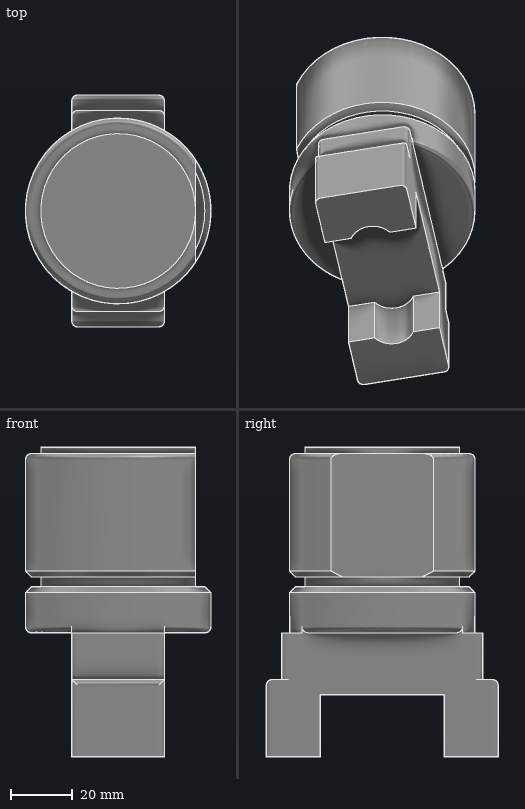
import cadquery as cq

edge_size = 2.0
knob_radius = 30.0
neck_radius = 25.0
base_width = 30.0
foot_length = 75.0
shoulder_length = 65.0
slot_width = 40.0
slot_height = 20.0
recess_radius = 7.5
recess_offset = 16.0

shoulder_z = 25.0
flange_z = 40.0
neck_z = 55.0
knob_z = 58.0
knob_top_z = 98.0
total_height = 100.0


def cylinder(radius, bottom, top):
    """Vertical cylinder on the Z axis."""
    return cq.Workplane("XY").workplane(offset=bottom).circle(radius).extrude(top - bottom)


def block(x_size, y_size, bottom, top):
    """Rectangular block centred on the Z axis."""
    return cq.Workplane("XY").workplane(offset=bottom).rect(x_size, y_size).extrude(top - bottom)


def make_base():
    """Two-legged foot with a narrower shoulder above it."""
    foot = block(base_width, foot_length, 0, shoulder_z)
    foot = foot.edges("|Z or (>Z and |X)").fillet(edge_size)
    shoulder = block(base_width, shoulder_length, 0, flange_z).edges("|Z").fillet(edge_size)
    slot = block(base_width, slot_width, 0, slot_height)
    base = foot.union(shoulder).cut(slot)
    for side in (-1, 1):
        recess = cylinder(recess_radius, 0, slot_height)
        base = base.cut(recess.translate((0, side * recess_offset, 0)))
    return base


def make_flange():
    """Flange whose lower edge is rounded only where it overhangs the base."""
    flange = cylinder(knob_radius, flange_z, neck_z).faces(">Z").edges().chamfer(edge_size)
    over_base = flange.intersect(block(base_width, 2 * knob_radius, flange_z, neck_z))
    return flange.faces("<Z").edges().fillet(edge_size).union(over_base)


def make_knob():
    """Knob with a rounded top, a chamfered bottom and a flat on the +X side."""
    knob = cylinder(knob_radius, knob_z, knob_top_z)
    knob = knob.faces(">Z").edges().fillet(edge_size).faces("<Z").edges().chamfer(edge_size)
    flat_side = block(knob_radius, 2 * knob_radius, knob_z, knob_top_z)
    flat_side = flat_side.translate((neck_radius + knob_radius / 2, 0, 0))
    return knob.cut(flat_side)


neck = cylinder(neck_radius, flange_z, total_height)
result = make_base().union(make_flange()).union(neck).union(make_knob())